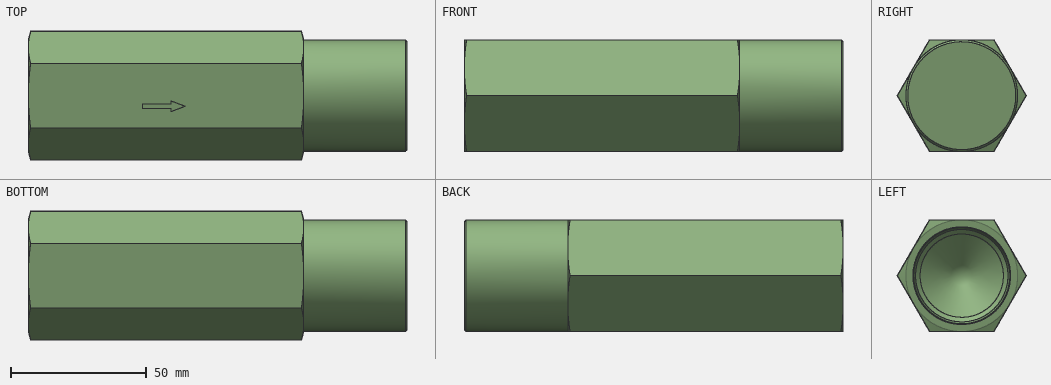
import cadquery as cq
import math

total_length = 139.7
across_flats = 41.2
hex_length = 101.5
corner_chamfer_angle = 15.0
spigot_diameter = across_flats
spigot_chamfer = 0.7

mouth_diameter = 36.0
mouth_chamfer = 0.3
seat_diameter = 34.1
seat_depth = 3.4
bore_diameter = 30.7
bore_start = 4.7
bore_depth = 28.0
drill_point_angle = 118.0

arrow_start = 42.2
arrow_length = 15.6
arrow_head_length = 5.2
arrow_head_width = 3.9
arrow_shaft_width = 1.8
arrow_y = -3.9
arrow_depth = 0.1


def revolve_about_x(profile):
    """Revolve a closed profile, given as (x, radius) points, about the X axis."""
    return cq.Workplane("XY").polyline(profile).close().revolve(360, (0, 0, 0), (1, 0, 0))


def make_hexagon():
    """Hexagonal bar with a flat on top and its corners turned down at both ends."""
    across_corners = across_flats / math.cos(math.radians(30))
    bar = cq.Workplane("YZ").polygon(6, across_corners).extrude(hex_length)

    flat_radius = across_flats / 2
    corner_radius = across_corners / 2
    chamfer_length = (corner_radius - flat_radius) * math.tan(math.radians(corner_chamfer_angle))
    turned_envelope = revolve_about_x([
        (0, 0),
        (0, flat_radius),
        (chamfer_length, corner_radius),
        (hex_length - chamfer_length, corner_radius),
        (hex_length, flat_radius),
        (hex_length, 0),
    ])
    return bar.intersect(turned_envelope)


def make_spigot():
    """Plain round end with a chamfered rim."""
    spigot = (
        cq.Workplane("YZ", origin=(hex_length, 0, 0))
        .circle(spigot_diameter / 2)
        .extrude(total_length - hex_length)
    )
    return spigot.faces(">X").edges().chamfer(spigot_chamfer)


def make_port():
    """Chamfered and tapered mouth, conical shoulder and blind bore with a drill point."""
    bore_radius = bore_diameter / 2
    point_length = bore_radius / math.tan(math.radians(drill_point_angle / 2))
    return revolve_about_x([
        (0, 0),
        (0, mouth_diameter / 2),
        (mouth_chamfer, mouth_diameter / 2 - mouth_chamfer),
        (seat_depth, seat_diameter / 2),
        (bore_start, bore_radius),
        (bore_depth, bore_radius),
        (bore_depth + point_length, 0),
    ])


def make_arrow():
    """Shallow arrow pointing along +X, sunk into the top flat."""
    shoulder_x = arrow_length - arrow_head_length
    shaft_half = arrow_shaft_width / 2
    head_half = arrow_head_width / 2
    outline = [
        (0, -shaft_half),
        (shoulder_x, -shaft_half),
        (shoulder_x, -head_half),
        (arrow_length, 0),
        (shoulder_x, head_half),
        (shoulder_x, shaft_half),
        (0, shaft_half),
    ]
    top_flat = cq.Workplane("XY", origin=(arrow_start, arrow_y, across_flats / 2))
    return top_flat.polyline(outline).close().extrude(-arrow_depth)


body = make_hexagon().union(make_spigot())
result = body.cut(make_port()).cut(make_arrow())